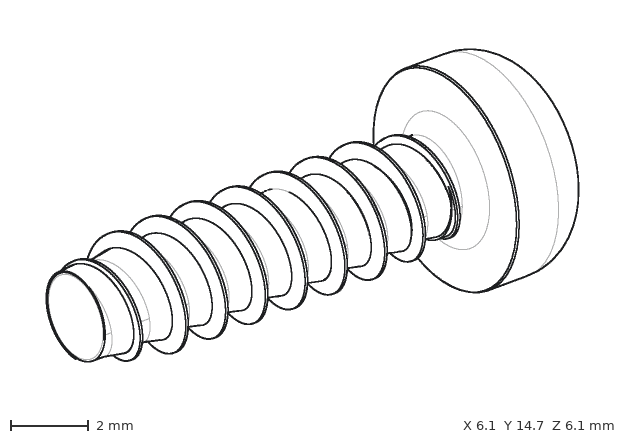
import cadquery as cq
import math


head_radius = 3.05
head_height = 2.68
head_crown_radius = 1.35
head_rim_chamfer_width = 0.03
head_rim_chamfer_height = 0.06

shank_radius = 1.37
shank_fillet = 0.5
shank_length = 0.83
core_radius = 1.22
tip_y = -11.98
tip_face_radius = 1.15
tip_bevel_height = 0.02
tip_cone_height = 0.03

pitch = 1.29
first_crest_y = -2.31
crest_radius = 1.75
crest_half_width = 0.04
flank_foot_radius = 1.5
flank_foot_offset = 0.115
head_side_offset = 0.265
tip_side_offset = 0.165
cone_radius = 1.34
cone_end_offset = 0.98
buried_radius = 1.195

growing_turns = 2.4
full_height_turns = 6
sinking_turns = 1.5
end_height = 0.04
start_turn = -growing_turns
end_turn = full_height_turns + sinking_turns
points_per_turn = 20
trim_length = 3 * pitch


def make_blank():
    """Head, fillet, plain shank and core as one revolved profile."""
    diagonal = math.sqrt(0.5)
    crown_flat = head_radius - head_crown_radius
    crown_base = head_height - head_crown_radius
    crown_middle = (
        crown_flat + head_crown_radius * diagonal,
        crown_base + head_crown_radius * diagonal,
    )
    fillet_middle = (
        shank_radius + shank_fillet * (1 - diagonal),
        -shank_fillet * (1 - diagonal),
    )
    return (
        cq.Workplane("XY")
        .moveTo(0, head_height)
        .lineTo(crown_flat, head_height)
        .threePointArc(crown_middle, (head_radius, crown_base))
        .lineTo(head_radius, head_rim_chamfer_height)
        .lineTo(head_radius - head_rim_chamfer_width, 0)
        .lineTo(shank_radius + shank_fillet, 0)
        .threePointArc(fillet_middle, (shank_radius, -shank_fillet))
        .lineTo(shank_radius, -shank_length)
        .lineTo(core_radius, -shank_length)
        .lineTo(core_radius, tip_y + tip_bevel_height)
        .lineTo(tip_face_radius, tip_y)
        .lineTo(0, tip_y - tip_cone_height)
        .close()
        .revolve(360, (0, 0, 0), (0, 1, 0))
    )


def growth(turn):
    """Fraction of the full ridge height reached at a turn, near the head."""
    return max(end_height, min(1, (turn - start_turn) / growing_turns))


def remainder(turn):
    """Fraction of the full ridge height left at a turn, near the tip."""
    return max(end_height, min(1, (end_turn - turn) / sinking_turns))


def blend(low, high, fraction):
    return low + (high - low) * fraction


def thread_profile(turn):
    """Thread section at a turn, as (radius, offset towards the tip)."""
    height = min(growth(turn), remainder(turn))
    cone_height = 1 - (1 - remainder(turn)) ** 2
    foot = blend(core_radius, flank_foot_radius, height)
    crest = blend(core_radius, crest_radius, height)
    cone = blend(core_radius, cone_radius, cone_height)
    return [
        (buried_radius, -blend(crest_half_width, head_side_offset, height)),
        (foot, -blend(crest_half_width, flank_foot_offset, height)),
        (crest, -crest_half_width),
        (crest, crest_half_width),
        (cone, blend(crest_half_width, tip_side_offset, height)),
        (buried_radius, cone_end_offset),
    ]


def place(turn, radius, offset):
    """Point of the thread section in space."""
    angle = 2 * math.pi * turn
    return cq.Vector(
        -radius * math.sin(angle),
        first_crest_y - pitch * turn - offset,
        radius * math.cos(angle),
    )


def make_thread():
    """Helical ridge with its sawtooth core cone, trimmed to the threaded length."""
    step_count = round((end_turn - start_turn) * points_per_turn)
    step = (end_turn - start_turn) / step_count
    sections = []
    for index in range(step_count + 1):
        turn = start_turn + index * step
        sections.append([place(turn, *corner) for corner in thread_profile(turn)])

    helices = [cq.Edge.makeSpline(list(path)) for path in zip(*sections)]
    faces = []
    for index, helix in enumerate(helices):
        faces.append(cq.Face.makeRuledSurface(helices[index - 1], helix))
    for section in (sections[0], sections[-1]):
        faces.append(cq.Face.makeFromWires(cq.Wire.makePolygon(section, close=True)))
    ridge = cq.Solid.makeSolid(cq.Shell.makeShell(faces))

    thread = cq.Workplane(obj=ridge)
    for end_y, direction in ((-shank_length, 1), (tip_y, -1)):
        overrun = cq.Solid.makeCylinder(
            head_radius, trim_length, cq.Vector(0, end_y, 0), cq.Vector(0, direction, 0)
        )
        thread = thread.cut(cq.Workplane(obj=overrun))
    return thread


result = make_blank().union(make_thread())